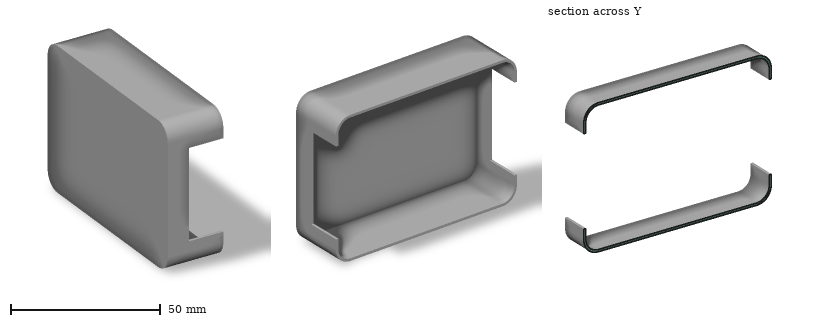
import cadquery as cq

length = 76.1
depth = 21.8
height = 55.1
corner_radius = 6.0

wall = 1.0

notch_height = 35.0
notch_depth = 13.5


def block(size_x, size_z, y_start, y_end):
    """Box centred in X and Z, spanning y_start to y_end."""
    return (
        cq.Workplane("XY")
        .box(size_x, y_end - y_start, size_z)
        .translate((0, (y_start + y_end) / 2, 0))
    )


def rounded_block(size_x, size_z, radius, y_start, y_end):
    """Block with its four edges along Y rounded."""
    return block(size_x, size_z, y_start, y_end).edges("|Y").fillet(radius)


front = -depth / 2
rim = depth / 2

body = rounded_block(length, height, corner_radius, front, rim)
cavity = rounded_block(
    length - 2 * wall,
    height - 2 * wall,
    corner_radius - wall,
    front + wall,
    rim,
)
end_notches = block(length, notch_height, rim - notch_depth, rim)

result = body.cut(cavity).cut(end_notches)